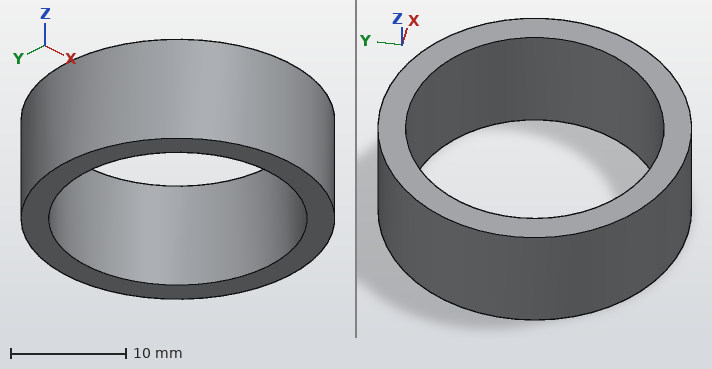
import cadquery as cq

outer_diameter = 27.2
inner_diameter = 22.4
height = 10.0


def make_ring():
    """Ring resting on the XY plane, centred on the Z axis."""
    return (
        cq.Workplane("XY")
        .circle(outer_diameter / 2)
        .circle(inner_diameter / 2)
        .extrude(height)
    )


result = make_ring()